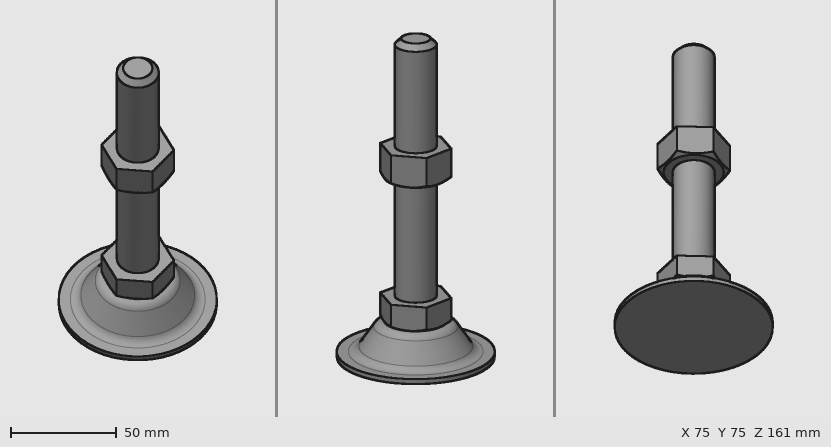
import cadquery as cq
import math

total_height = 161.0
foot_height = 18.0
hexagon_top = 31.0
nut_bottom = 90.7
nut_height = 16.0

plate_diameter = 75.0
plate_thickness = 2.5
cone_angle = 56.0
cone_top_radius = 20.1
rounding = 6.0

rod_diameter = 20.0
rod_chamfer = 3.0
hexagon_sides = 6
across_flats = 30.0
seat_diameter = 28.5
hexagon_chamfer_angle = 30.0


def make_foot():
    """Round plate with a cone blended into it and rounded at the shoulder."""
    slope = math.radians(cone_angle)
    cone_top_z = foot_height - rounding * (1 - math.cos(slope))
    cone_bottom_z = plate_thickness + rounding * (1 - math.cos(slope))
    cone_bottom_radius = cone_top_radius + (cone_top_z - cone_bottom_z) / math.tan(slope)

    shoulder_centre = cone_top_radius - rounding * math.sin(slope)
    base_centre = cone_bottom_radius + rounding * math.sin(slope)

    half_sine = math.sin(slope / 2)
    half_drop = 1 - math.cos(slope / 2)
    base_middle = (
        base_centre - rounding * half_sine,
        plate_thickness + rounding * half_drop,
    )
    shoulder_middle = (
        shoulder_centre + rounding * half_sine,
        foot_height - rounding * half_drop,
    )

    return (
        cq.Workplane("XZ")
        .lineTo(plate_diameter / 2, 0)
        .lineTo(plate_diameter / 2, plate_thickness)
        .lineTo(base_centre, plate_thickness)
        .threePointArc(base_middle, (cone_bottom_radius, cone_bottom_z))
        .lineTo(cone_top_radius, cone_top_z)
        .threePointArc(shoulder_middle, (shoulder_centre, foot_height))
        .lineTo(0, foot_height)
        .close()
        .revolve(360, (0, 0, 0), (0, 1, 0))
    )


def make_hexagon(bottom, height):
    """Hexagonal prism with corners on the X axis, bevelled conically at its lower end."""
    across_corners = across_flats / math.cos(math.pi / hexagon_sides)
    prism = (
        cq.Workplane("XY")
        .workplane(offset=bottom)
        .polygon(hexagon_sides, across_corners)
        .extrude(height)
    )
    bevel_width = (across_corners - seat_diameter) / 2
    bevel_height = bevel_width * math.tan(math.radians(hexagon_chamfer_angle))
    bevelled_cylinder = (
        cq.Workplane("XY")
        .workplane(offset=bottom)
        .circle(across_corners / 2)
        .extrude(height)
        .faces("<Z")
        .chamfer(bevel_height, bevel_width)
    )
    return prism.intersect(bevelled_cylinder)


def make_stud():
    """Rod with a chamfered tip and an integral hexagon standing on the foot."""
    rod = (
        cq.Workplane("XY")
        .workplane(offset=foot_height)
        .circle(rod_diameter / 2)
        .extrude(total_height - foot_height)
        .faces(">Z")
        .chamfer(rod_chamfer)
    )
    return rod.union(make_hexagon(foot_height, hexagon_top - foot_height))


def make_nut():
    """Lock nut whose bore fits the rod."""
    bore = (
        cq.Workplane("XY")
        .workplane(offset=nut_bottom)
        .circle(rod_diameter / 2)
        .extrude(nut_height)
    )
    return make_hexagon(nut_bottom, nut_height).cut(bore)


foot = make_foot().solids()
stud = make_stud().solids()
nut = make_nut().solids()

result = cq.Compound.makeCompound([foot.val(), stud.val(), nut.val()])